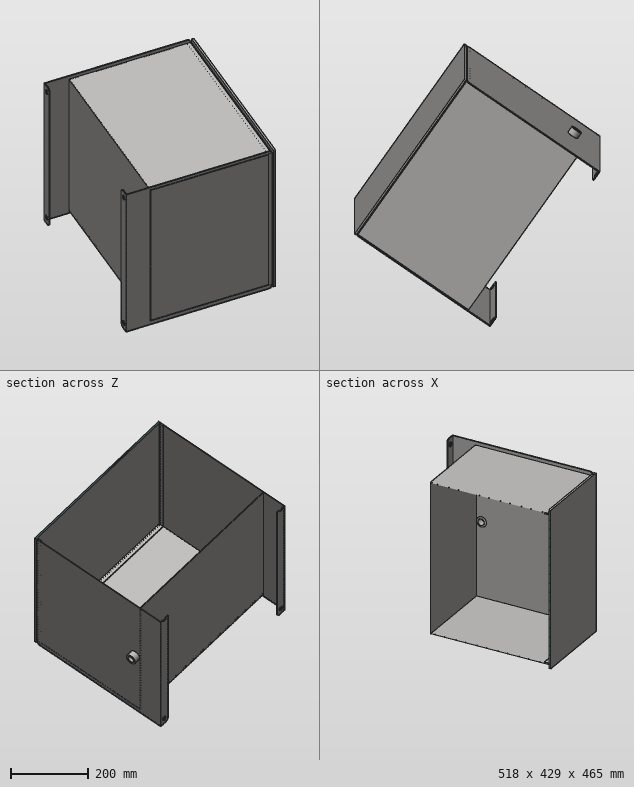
import cadquery as cq

width = 500.0
height = 465.0
depth = 429.0
sheet = 3.0

cover_thickness = 6.0
cover_corner_radius = 4.0
joint_gap = 3.0
cover_front_y = depth - cover_thickness
side_rear_y = cover_front_y - joint_gap

lip_overlap = 10.0
lip_front_y = side_rear_y - lip_overlap

box_front_y = 70.0
box_inset_z = 10.0
side_corner_radius = 10.0

flange_width = 30.0
flange_corner_radius = 10.0
hole_diameter = 13.0
hole_edge_x = flange_width / 2
hole_edge_z = 20.0

pipe_diameter = 30.0
pipe_bore = 18.7
pipe_length = 18.0
pipe_y = 86.5
pipe_z = height / 2


def block(x_range, y_range, z_range):
    """Box spanning a (low, high) pair along each axis."""
    x_low, x_high = x_range
    y_low, y_high = y_range
    z_low, z_high = z_range
    solid = cq.Workplane("XY").box(x_high - x_low, y_high - y_low, z_high - z_low, centered=False)
    return solid.translate((x_low, y_low, z_low))


def casing_block(inset_x, y_range, inset_z):
    """Box centred on the casing, inset from its sides and from its top and bottom."""
    return block((inset_x, width - inset_x), y_range, (inset_z, height - inset_z))


def make_left_side():
    """Side plate with its inward front flange and two mounting holes."""
    plate = block((0, sheet), (0, side_rear_y), (0, height))
    plate = plate.edges("|X and >Y").fillet(side_corner_radius)
    flange = block((0, flange_width), (0, sheet), (0, height))
    flange = flange.edges("|Y and >X").fillet(flange_corner_radius)
    holes = (
        cq.Workplane("XZ")
        .pushPoints([(hole_edge_x, hole_edge_z), (hole_edge_x, height - hole_edge_z)])
        .circle(hole_diameter / 2)
        .extrude(-sheet)
    )
    return plate.union(flange).cut(holes)


def make_box():
    """Top, bottom and front walls, open at the rear and closed at the ends by the side plates."""
    outer = casing_block(sheet, (box_front_y, side_rear_y), box_inset_z)
    inner = casing_block(sheet, (box_front_y + sheet, side_rear_y), box_inset_z + sheet)
    return outer.cut(inner)


def make_cover():
    """Rear cover with rounded corners and a lip that fits inside the walls."""
    panel = casing_block(0, (cover_front_y, depth), 0)
    panel = panel.edges("|Y").fillet(cover_corner_radius)
    lip_range = (lip_front_y, cover_front_y)
    lip_outer = casing_block(sheet, lip_range, box_inset_z + sheet)
    lip_inner = casing_block(2 * sheet, lip_range, box_inset_z + 2 * sheet)
    return panel.union(lip_outer.cut(lip_inner))


def make_pipe_cylinder(diameter, length):
    """Cylinder on the pipe axis, running inward from the outer pipe end."""
    return (
        cq.Workplane("YZ", origin=(-pipe_length, 0, 0))
        .center(pipe_y, pipe_z)
        .circle(diameter / 2)
        .extrude(length)
    )


left_side = make_left_side()
right_side = left_side.mirror("YZ").translate((width, 0, 0))
result = make_box().union(left_side).union(right_side).union(make_cover())

result = result.union(make_pipe_cylinder(pipe_diameter, pipe_length))
result = result.cut(make_pipe_cylinder(pipe_bore, pipe_length + sheet))